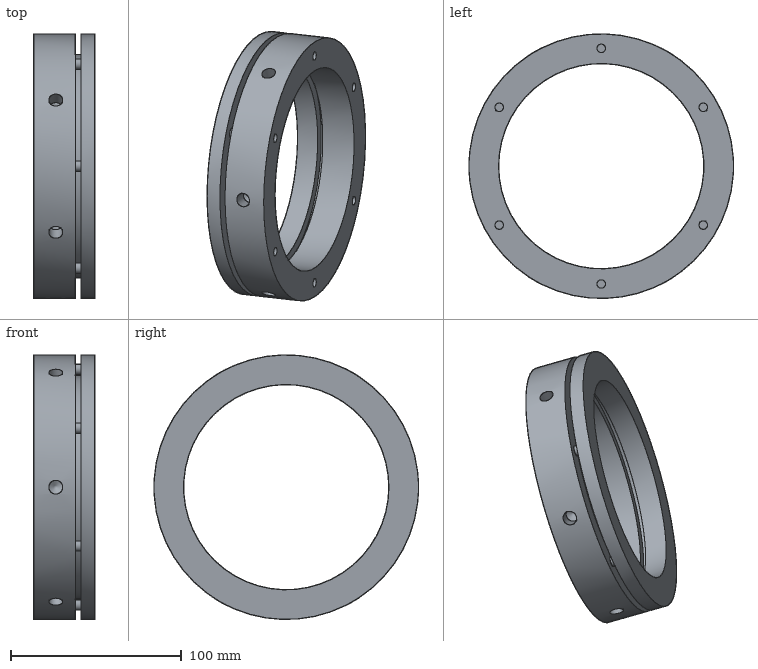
import cadquery as cq
import math

OUTER_DIAMETER = 155.0
BORE_DIAMETER = 120.0
OVERALL_LENGTH = 36.0

MAIN_RING_LENGTH = 24.5
GAP_WIDTH = 3.3
RECESS_DEPTH = 4.6
SPIGOT_DIAMETER = 131.0

PIN_COUNT = 5
PIN_DIAMETER = 6.0
AXIAL_HOLE_COUNT = 6
AXIAL_HOLE_DIAMETER = 5.0
PITCH_RADIUS = 69.0
PITCH_ANGLE = 360 / AXIAL_HOLE_COUNT
FIRST_PITCH_ANGLE = PITCH_ANGLE / 2

RADIAL_HOLE_COUNT = 6
RADIAL_HOLE_DIAMETER = 8.0
RADIAL_HOLE_DEPTH = 10.0
RADIAL_HOLE_OFFSET = 13.0
DRILL_POINT_ANGLE = 118.0

MAIN_FACE_X = -OVERALL_LENGTH / 2
END_FACE_X = OVERALL_LENGTH / 2
GAP_START_X = MAIN_FACE_X + MAIN_RING_LENGTH
GAP_END_X = GAP_START_X + GAP_WIDTH
RECESS_FLOOR_X = GAP_START_X - RECESS_DEPTH
SPIGOT_FACE_X = RECESS_FLOOR_X + GAP_WIDTH
RADIAL_HOLE_X = MAIN_FACE_X + RADIAL_HOLE_OFFSET


def tube(start_x, end_x, outer_diameter):
    """Make a tube along X with the common bore."""
    return (
        cq.Workplane("YZ", origin=(start_x, 0, 0))
        .circle(outer_diameter / 2)
        .circle(BORE_DIAMETER / 2)
        .extrude(end_x - start_x)
    )


def pitch_cylinder(index, start_x, end_x, diameter):
    """Make a cylinder along X at one place on the pitch circle."""
    angle = math.radians(FIRST_PITCH_ANGLE + index * PITCH_ANGLE)
    y = PITCH_RADIUS * math.cos(angle)
    z = PITCH_RADIUS * math.sin(angle)
    return (
        cq.Workplane("YZ", origin=(start_x, y, z))
        .circle(diameter / 2)
        .extrude(end_x - start_x)
    )


def radial_hole(index):
    """Make the cutter for one radial hole with a conical drill point; the first is at -Y."""
    radius = RADIAL_HOLE_DIAMETER / 2
    rim_y = -OUTER_DIAMETER / 2
    cone_y = rim_y + RADIAL_HOLE_DEPTH
    tip_y = cone_y + radius / math.tan(math.radians(DRILL_POINT_ANGLE / 2))
    angle = index * 360 / RADIAL_HOLE_COUNT
    return (
        cq.Workplane("XY")
        .polyline([(0, rim_y), (radius, rim_y), (radius, cone_y), (0, tip_y)])
        .close()
        .revolve(360, (0, 0, 0), (0, 1, 0))
        .translate((RADIAL_HOLE_X, 0, 0))
        .rotate((0, 0, 0), (1, 0, 0), angle)
    )


def make_main_ring():
    """Make the wide ring with its recess, axial holes and radial holes."""
    ring = tube(MAIN_FACE_X, GAP_START_X, OUTER_DIAMETER)
    ring = ring.cut(tube(RECESS_FLOOR_X, GAP_START_X, SPIGOT_DIAMETER))
    for index in range(AXIAL_HOLE_COUNT):
        ring = ring.cut(pitch_cylinder(index, MAIN_FACE_X, GAP_START_X, AXIAL_HOLE_DIAMETER))
    for index in range(RADIAL_HOLE_COUNT):
        ring = ring.cut(radial_hole(index))
    return ring


def make_end_ring():
    """Make the narrow ring with the spigot that fits the main ring's recess."""
    flange = tube(GAP_END_X, END_FACE_X, OUTER_DIAMETER)
    spigot = tube(SPIGOT_FACE_X, GAP_END_X, SPIGOT_DIAMETER)
    return flange.union(spigot)


def make_spacer_pin(index):
    """Make one pin that spans the outer gap between the rings."""
    return pitch_cylinder(index, GAP_START_X, GAP_END_X, PIN_DIAMETER)


main_ring = make_main_ring()
end_ring = make_end_ring()
spacer_pins = [make_spacer_pin(index).val() for index in range(PIN_COUNT)]

result = cq.Compound.makeCompound([main_ring.val(), end_ring.val(), *spacer_pins])